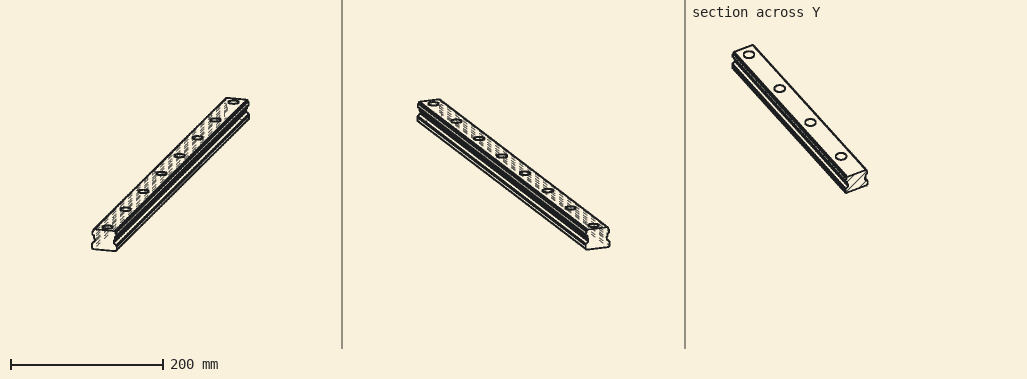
import cadquery as cq

length = 590.0
width = 34.0
height = 28.0

half_width = width / 2
lip_half_width = 16.5
top_half_width = 14.0
shoulder_half_width = 15.5
neck_half_width = 14.0
waist_half_width = 13.0
base_chamfer = 2.0
foot_edge_inset = 0.5
foot_side_top = 6.5
foot_top = 8.0
waist_bottom = 11.0
waist_top = 13.5
neck_bottom = 16.0
neck_top = 19.0
lip_bottom = 20.5
lip_top = 23.0
shoulder_bottom = 25.0
shoulder_top = 26.5
groove_depth = 0.3

hole_count = 8
end_margin = 15.0
hole_pitch = (length - 2 * end_margin) / (hole_count - 1)
hole_diameter = 14.0
cap_recess = 0.5


def rail_half():
    """Extrude the +X half of the section along Y, with a ball groove above and below the lip."""
    section = (
        cq.Workplane("XZ")
        .lineTo(half_width - base_chamfer, 0)
        .lineTo(half_width, base_chamfer)
        .lineTo(half_width, foot_side_top)
        .lineTo(half_width - foot_edge_inset, foot_top)
        .lineTo(waist_half_width, waist_bottom)
        .lineTo(waist_half_width, waist_top)
        .lineTo(neck_half_width, neck_bottom)
        .lineTo(neck_half_width, neck_top)
        .sagittaArc((lip_half_width, lip_bottom), -groove_depth)
        .lineTo(lip_half_width, lip_top)
        .sagittaArc((shoulder_half_width, shoulder_bottom), -groove_depth)
        .lineTo(shoulder_half_width, shoulder_top)
        .lineTo(top_half_width, height)
        .lineTo(0, height)
        .close()
    )
    return section.extrude(length / 2, both=True)


def cap_recesses():
    """Shallow round recesses above the caps that close the mounting holes."""
    return (
        cq.Workplane("XY", origin=(0, 0, height))
        .rarray(6, hole_pitch, 1, hole_count)
        .circle(hole_diameter / 2)
        .extrude(-cap_recess)
    )


half = rail_half()
rail = half.union(half.mirror("YZ")).clean()
result = rail.cut(cap_recesses())